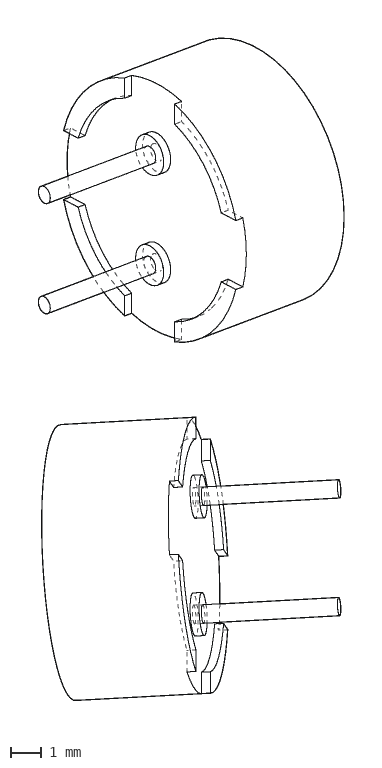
import cadquery as cq

housing_diameter = 9.0
overall_depth = 9.01
pin_exposed_length = 4.505

foot_height = 0.3
foot_inner_diameter = 7.6
foot_gap = 2.505
back_edge_radius = 0.045

pin_diameter = 0.6
pin_spacing = 4.0
bead_diameter = 1.41

pin_tip_y = -overall_depth / 2
foot_face_y = pin_tip_y + pin_exposed_length
base_face_y = foot_face_y + foot_height
back_face_y = overall_depth / 2

pin_heights = [pin_spacing / 2, -pin_spacing / 2]


def cylinder_along_y(diameter, start_y, end_y, height=0):
    """Cylinder with its axis parallel to Y at X = 0 and Z = height."""
    return (
        cq.Workplane("XZ", origin=(0, start_y, height))
        .circle(diameter / 2)
        .extrude(start_y - end_y)
    )


def make_feet():
    """Four arc-shaped feet left between the crossing gaps of a rim."""
    rim = cylinder_along_y(housing_diameter, foot_face_y, base_face_y)
    rim = rim.cut(cylinder_along_y(foot_inner_diameter, foot_face_y, base_face_y))
    middle_y = (foot_face_y + base_face_y) / 2
    upright_gap = cq.Workplane("XY").box(foot_gap, foot_height, housing_diameter)
    level_gap = cq.Workplane("XY").box(housing_diameter, foot_height, foot_gap)
    gaps = upright_gap.union(level_gap).translate((0, middle_y, 0))
    return rim.cut(gaps)


def make_housing():
    """Round closed drum with a softened back edge and feet on its front face."""
    drum = cylinder_along_y(housing_diameter, base_face_y, back_face_y)
    drum = drum.faces(">Y").edges().fillet(back_edge_radius)
    return drum.union(make_feet())


def make_bead(height):
    """Ring around one pin, standing on the base face and level with the feet."""
    ring = cylinder_along_y(bead_diameter, foot_face_y, base_face_y, height)
    return ring.cut(cylinder_along_y(pin_diameter, foot_face_y, base_face_y, height))


def make_pin(height):
    """Straight round pin running from the base face through its bead to the tip."""
    return cylinder_along_y(pin_diameter, pin_tip_y, base_face_y, height)


housing = make_housing()

beads = []
pins = []
for pin_height in pin_heights:
    beads.append(make_bead(pin_height).val())
    pins.append(make_pin(pin_height).val())

result = cq.Compound.makeCompound([housing.val(), *beads, *pins])